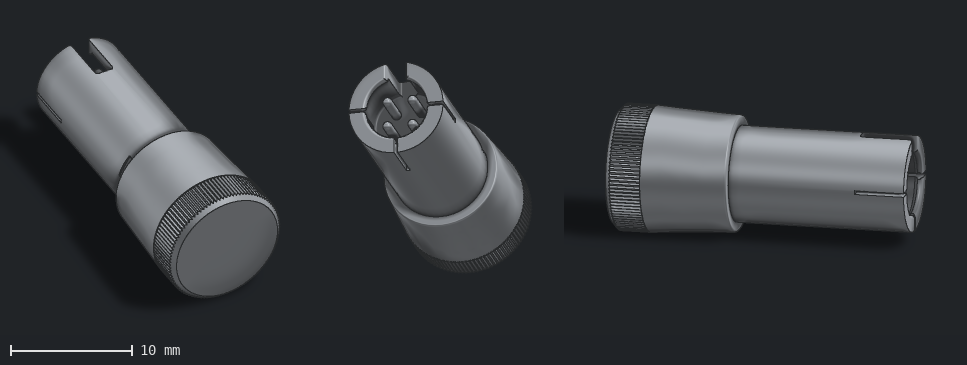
import cadquery as cq
import math

TOTAL_LENGTH = 25.0
HEAD_START = 14.8
KNURL_START = 22.0

SLEEVE_RADIUS = 4.0
BORE_RADIUS = 2.95
BORE_DEPTH = 4.45
BORE_FLOOR_FILLET = 0.3
LIP_RADIUS = 2.6
LIP_MOUTH_FILLET = 0.3
LIP_LAND_END = 0.4
LIP_FLARE_END = 0.7

HEAD_FRONT_RADIUS = 4.85
HEAD_RADIUS = 5.25
HEAD_RIM_FILLET = 0.2
HEAD_END_CHAMFER = 0.5

KNURL_COUNT = 102
KNURL_DEPTH = 0.15

KEYWAY_HALF_WIDTH = 0.8
KEYWAY_CORNER_RADIUS = 0.3

SLIT_WIDTH = 0.3
SLIT_LENGTH = BORE_DEPTH - BORE_FLOOR_FILLET
SLIT_EDGE_ROUND = 0.15
SLIT_ANGLES = (90, 180, 270)

PIN_DIAMETER = 0.78
PIN_OFFSET = 1.06
PIN_TIP = 1.0

RECESS_LENGTH = 1.15
RECESS_WIDTH = 1.9
RECESS_DEPTH = 0.2
RECESS_ANGLE = 60

CUT_MARGIN = 0.5
X_AXIS = ((0, 0, 0), (1, 0, 0))


def revolve_around_x(profile):
    """Turn a profile drawn as (x, radius) around the X axis."""
    return profile.close().revolve(360, *X_AXIS)


def rotate_around_x(body, angle):
    """Rotate a body from the +Z side toward the -Y side by an angle in degrees."""
    return body.rotate(*X_AXIS, angle)


def make_body():
    """Solid sleeve and tapered head, before anything is cut."""
    rim_corner_radius = HEAD_FRONT_RADIUS - HEAD_RIM_FILLET
    profile = (
        cq.Workplane("XY")
        .lineTo(0, SLEEVE_RADIUS)
        .lineTo(HEAD_START, SLEEVE_RADIUS)
        .lineTo(HEAD_START, rim_corner_radius)
        .radiusArc((HEAD_START + HEAD_RIM_FILLET, HEAD_FRONT_RADIUS), HEAD_RIM_FILLET)
        .lineTo(KNURL_START, HEAD_RADIUS)
        .lineTo(TOTAL_LENGTH - HEAD_END_CHAMFER, HEAD_RADIUS)
        .lineTo(TOTAL_LENGTH, HEAD_RADIUS - HEAD_END_CHAMFER)
        .lineTo(TOTAL_LENGTH, 0)
    )
    return revolve_around_x(profile)


def make_socket():
    """Bore with a rounded mouth, a narrower lip, a conical flare and a filleted floor."""
    floor_flat_radius = BORE_RADIUS - BORE_FLOOR_FILLET
    profile = (
        cq.Workplane("XY")
        .lineTo(0, LIP_RADIUS + LIP_MOUTH_FILLET)
        .radiusArc((LIP_MOUTH_FILLET, LIP_RADIUS), -LIP_MOUTH_FILLET)
        .lineTo(LIP_LAND_END, LIP_RADIUS)
        .lineTo(LIP_FLARE_END, BORE_RADIUS)
        .lineTo(BORE_DEPTH - BORE_FLOOR_FILLET, BORE_RADIUS)
        .radiusArc((BORE_DEPTH, floor_flat_radius), BORE_FLOOR_FILLET)
        .lineTo(BORE_DEPTH, 0)
    )
    return revolve_around_x(profile)


def make_keyway():
    """Slot open at the front, with rounded entry edges and rounded end corners."""
    radius = KEYWAY_CORNER_RADIUS
    entry_half_width = KEYWAY_HALF_WIDTH + radius
    end_half_width = KEYWAY_HALF_WIDTH - radius
    return (
        cq.Workplane("XY")
        .moveTo(0, entry_half_width)
        .radiusArc((radius, KEYWAY_HALF_WIDTH), -radius)
        .lineTo(BORE_DEPTH - radius, KEYWAY_HALF_WIDTH)
        .radiusArc((BORE_DEPTH, end_half_width), radius)
        .lineTo(BORE_DEPTH, -end_half_width)
        .radiusArc((BORE_DEPTH - radius, -KEYWAY_HALF_WIDTH), radius)
        .lineTo(radius, -KEYWAY_HALF_WIDTH)
        .radiusArc((0, -entry_half_width), -radius)
        .close()
        .extrude(SLEEVE_RADIUS + CUT_MARGIN)
    )


def make_slit(angle):
    """Thin radial cut through one side of the sleeve wall, with rounded edges at the lip."""
    half_width = SLIT_WIDTH / 2
    flared_half_width = half_width + SLIT_EDGE_ROUND
    round_end = LIP_RADIUS + SLIT_EDGE_ROUND
    outer_end = SLEEVE_RADIUS + CUT_MARGIN
    slit = (
        cq.Workplane("YZ")
        .moveTo(-flared_half_width, 0)
        .lineTo(-flared_half_width, LIP_RADIUS)
        .radiusArc((-half_width, round_end), -SLIT_EDGE_ROUND)
        .lineTo(-half_width, outer_end)
        .lineTo(half_width, outer_end)
        .lineTo(half_width, round_end)
        .radiusArc((flared_half_width, LIP_RADIUS), -SLIT_EDGE_ROUND)
        .lineTo(flared_half_width, 0)
        .close()
        .extrude(SLIT_LENGTH)
    )
    return rotate_around_x(slit, angle)


def make_recess():
    """Shallow flat-bottomed pocket, above the middle of the -Y side."""
    recess = (
        cq.Workplane("XY")
        .workplane(offset=SLEEVE_RADIUS - RECESS_DEPTH)
        .moveTo(HEAD_START - RECESS_LENGTH / 2, 0)
        .rect(RECESS_LENGTH, RECESS_WIDTH)
        .extrude(RECESS_DEPTH + CUT_MARGIN)
    )
    return rotate_around_x(recess, RECESS_ANGLE)


def make_pin(y, z):
    """Contact pin with a hemispherical tip, standing on the socket floor."""
    radius = PIN_DIAMETER / 2
    root = BORE_DEPTH + CUT_MARGIN
    profile = (
        cq.Workplane("XY")
        .moveTo(PIN_TIP, 0)
        .radiusArc((PIN_TIP + radius, radius), radius)
        .lineTo(root, radius)
        .lineTo(root, 0)
    )
    return revolve_around_x(profile).translate((0, y, z))


def polar_point(radius, angle):
    return radius * math.cos(angle), radius * math.sin(angle)


def make_knurl_cutter():
    """Ring whose inner outline is the toothed knurl section."""
    pitch_angle = 2 * math.pi / KNURL_COUNT
    outline = []
    for tooth in range(KNURL_COUNT):
        groove_angle = tooth * pitch_angle
        crest_angle = groove_angle + pitch_angle / 2
        outline.append(polar_point(HEAD_RADIUS - KNURL_DEPTH, groove_angle))
        outline.append(polar_point(HEAD_RADIUS, crest_angle))
    return (
        cq.Workplane("YZ")
        .workplane(offset=KNURL_START)
        .circle(HEAD_RADIUS + CUT_MARGIN)
        .polyline(outline)
        .close()
        .extrude(TOTAL_LENGTH - KNURL_START)
    )


result = make_body().cut(make_knurl_cutter())
result = result.cut(make_socket()).cut(make_keyway()).cut(make_recess())
for slit_angle in SLIT_ANGLES:
    result = result.cut(make_slit(slit_angle))
for pin_y in (-PIN_OFFSET, PIN_OFFSET):
    for pin_z in (-PIN_OFFSET, PIN_OFFSET):
        result = result.union(make_pin(pin_y, pin_z))